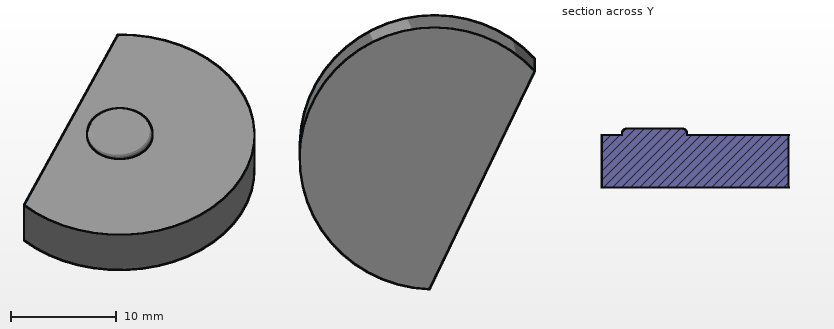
import cadquery as cq

disc_diameter = 25.45
flat_distance = 5.0
disc_thickness = 5.0
total_height = 5.6
button_diameter = 6.2
button_rounding = 0.5

disc_radius = disc_diameter / 2
button_height = total_height - disc_thickness


def make_disc():
    """Round disc cut off by a flat on its -X side, standing on Z = 0."""
    disc = cq.Workplane("XY").circle(disc_radius).extrude(disc_thickness)
    kept_region = (
        cq.Workplane("XY")
        .box(flat_distance + disc_radius, disc_diameter, disc_thickness, centered=(False, True, False))
        .translate((-flat_distance, 0, 0))
    )
    return disc.intersect(kept_region)


def make_button():
    """Low round button on the disc axis, with a rounded top edge."""
    return (
        cq.Workplane("XY")
        .workplane(offset=disc_thickness)
        .circle(button_diameter / 2)
        .extrude(button_height)
        .faces(">Z")
        .edges()
        .fillet(button_rounding)
    )


result = make_disc().union(make_button())